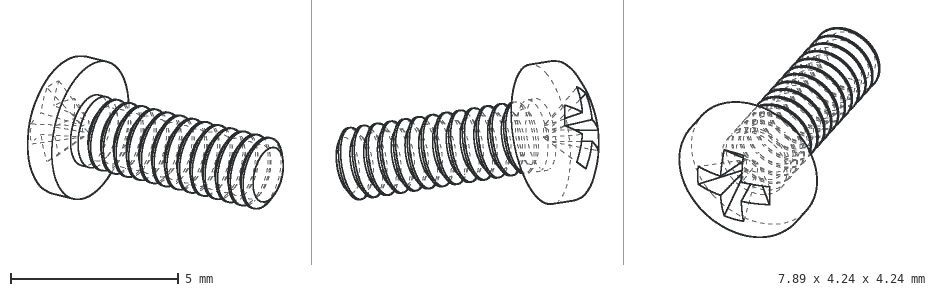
import cadquery as cq
import math

total_length = 7.89
shank_length = 6.35
head_height = total_length - shank_length

head_diameter = 4.24
head_radius = head_diameter / 2
dome_radius = 3.49
rim_fillet = 0.25

major_diameter = 2.18
major_radius = major_diameter / 2
thread_depth = 0.25
root_radius = major_radius - thread_depth
groove_count = 13
threaded_length = 5.89
pitch = threaded_length / groove_count
crest_width = 0.07
flank_width = (pitch - crest_width) / 2

recess_depth = 1.37
mouth_half_width = 0.35
mouth_half_length = 1.365
floor_half_width = 0.18
mouth_clearance = 0.08


def dome_sag(radius):
    """Axial drop of the dome from its apex at a distance from the axis."""
    return dome_radius - math.sqrt(dome_radius**2 - radius**2)


def make_head():
    """Domed head with a rounded rim. The recess corners end up at -head_height."""
    apex = -head_height - dome_sag(mouth_half_width * math.sqrt(2))
    dome_edge = apex + dome_sag(head_radius)
    middle_radius = head_radius / 2
    middle = apex + dome_sag(middle_radius)
    profile = (
        cq.Workplane("XY")
        .moveTo(0, 0)
        .lineTo(apex, 0)
        .threePointArc((middle, middle_radius), (dome_edge, head_radius))
        .lineTo(0, head_radius)
        .close()
    )
    head = profile.revolve(360, (0, 0, 0), (1, 0, 0))
    rim = head.faces("%CYLINDER").edges("%CIRCLE").edges("<X")
    return rim.fillet(rim_fillet)


def make_shank():
    """Plain neck followed by a row of V grooves that ends at a root."""
    outline = cq.Workplane("XY").moveTo(0, 0).lineTo(0, major_radius)
    for index in range(groove_count, -1, -1):
        root = shank_length - index * pitch
        outline = outline.lineTo(root - flank_width, major_radius).lineTo(root, root_radius)
        if index > 0:
            outline = outline.lineTo(root + flank_width, major_radius)
    return outline.lineTo(shank_length, 0).close().revolve(360, (0, 0, 0), (1, 0, 0))


def make_recess_arm(arm_along_y):
    """Tapered slot narrowing to the square recess floor; its walls carry on past the dome apex."""
    overshoot = dome_sag(mouth_half_width * math.sqrt(2)) + mouth_clearance
    stretch = (recess_depth + overshoot) / recess_depth
    top_length = 2 * (floor_half_width + (mouth_half_length - floor_half_width) * stretch)
    top_width = 2 * (floor_half_width + (mouth_half_width - floor_half_width) * stretch)
    size_y, size_z = (top_length, top_width) if arm_along_y else (top_width, top_length)
    return (
        cq.Workplane("YZ", origin=(-head_height - overshoot, 0, 0))
        .rect(size_y, size_z)
        .workplane(offset=overshoot + recess_depth)
        .rect(2 * floor_half_width, 2 * floor_half_width)
        .loft(ruled=True)
    )


result = make_head().union(make_shank())
for arm_along_y in (True, False):
    result = result.cut(make_recess_arm(arm_along_y))